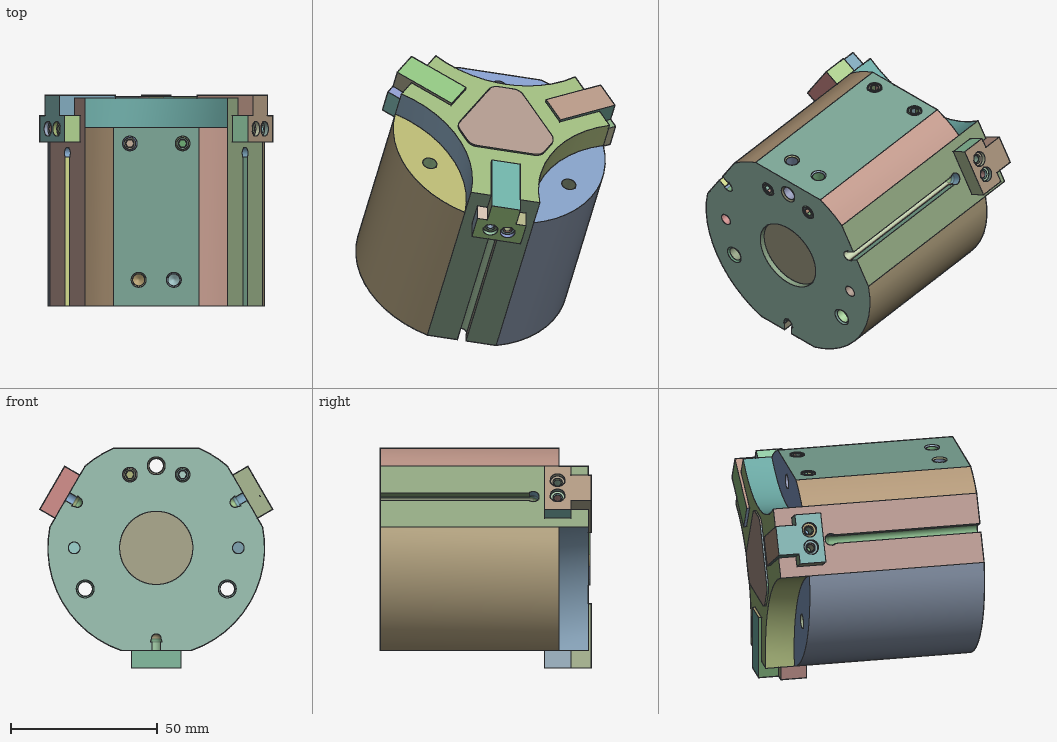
import cadquery as cq
import math

TOTAL_LENGTH = 72.0
JAW_COUNT = 3
JAW_PITCH = 360.0 / JAW_COUNT

BODY_RADIUS = 37.0
BODY_LENGTH = 61.0
GUIDE_END = 71.0
SCOOP_RADIUS = 38.5
JAW_FLAT = 35.0
TOP_FLAT = 34.0
COVER_JAW_FLAT = 12.7
COVER_SCOOP_FLAT = 17.0
COVER_CORNER_RADIUS = 4.0
COVER_HEIGHT = 0.6
RECESS_DIA = 25.0
RECESS_DEPTH = 2.0

JAW_INNER = 19.0
JAW_OUTER = 41.0
JAW_FOOT_WIDTH = 17.0
JAW_FOOT_START = 56.0
JAW_FOOT_END = 65.0
JAW_NECK_WIDTH = 10.0
JAW_HOLE_SPACING = 6.0
JAW_SLEEVE_DIA = 5.0
JAW_SLEEVE_DEPTH = 1.5
JAW_THREAD_DIA = 2.46
JAW_CHAMFER_DIA = 3.24
JAW_THREAD_DEPTH = 8.0

GROOVE_NECK = 3.0
GROOVE_HEAD_DIA = 4.0
GROOVE_HEAD_START = 32.05
GROOVE_DOME_DIA = 3.4
GROOVE_DOME_CENTER = 31.05
GROOVE_END = 52.2

BOLT_CIRCLE_RADIUS = 28.0
BOLT_HOLE_DIA = 4.92
BOLT_CHAMFER_DIA = 6.1
DOWEL_DIA = 4.0
DOWEL_DEPTH = 8.0

PORT_DIA = 4.13
PORT_CHAMFER_DIA = 5.1
PORT_DEPTH = 8.0
DRILL_POINT_ANGLE = 118.0
TOP_PORT_X = 6.0
TOP_PORT_Y = 9.0

SCREW_X = 9.0
FRONT_SCREW_Z = 25.0
TOP_SCREW_Y = 55.5
SCREW_DIA = 5.0
SCREW_CHAMFER = 0.5
SCREW_LENGTH = 5.0
SOCKET_CHAMFER_DIA = 2.9
SOCKET_ACROSS_FLATS = 2.5
SOCKET_DEPTH = 2.5

AXIS_START = cq.Vector(0, 0, 0)
AXIS_END = cq.Vector(0, 1, 0)
INTO_FRONT = cq.Vector(0, 1, 0)
INTO_TOP = cq.Vector(0, 0, -1)
INTO_JAW = cq.Vector(0, 0, 1)

FRONT_SCREW_POINTS = [cq.Vector(side * SCREW_X, 0, FRONT_SCREW_Z) for side in (-1, 1)]
TOP_SCREW_POINTS = [cq.Vector(side * SCREW_X, TOP_SCREW_Y, TOP_FLAT) for side in (-1, 1)]
SCREW_SEATS = [(point, INTO_FRONT) for point in FRONT_SCREW_POINTS]
SCREW_SEATS += [(point, INTO_TOP) for point in TOP_SCREW_POINTS]


def cross_section(y):
    """Workplane across the gripper axis; a negative extrusion runs toward +Y."""
    return cq.Workplane("XZ", origin=(0, y, 0))


def around_axis(shape):
    """One copy of the shape for each jaw, turned about the gripper axis."""
    return [shape.rotate(AXIS_START, AXIS_END, i * JAW_PITCH) for i in range(JAW_COUNT)]


def cylinder(dia, length, start, direction):
    return cq.Solid.makeCylinder(dia / 2, length, start, direction)


def countersink(outer_dia, inner_dia, start, direction):
    """45 degree cone that opens a hole at the surface."""
    depth = (outer_dia - inner_dia) / 2
    return cq.Solid.makeCone(outer_dia / 2, inner_dia / 2, depth, start, direction)


def threaded_port(start, direction):
    """Blind port with a countersunk mouth and a drill point."""
    point_depth = PORT_DIA / 2 / math.tan(math.radians(DRILL_POINT_ANGLE / 2))
    bottom = start + direction * PORT_DEPTH
    bore = cylinder(PORT_DIA, PORT_DEPTH, start, direction)
    drill_point = cq.Solid.makeCone(PORT_DIA / 2, 0, point_depth, bottom, direction)
    mouth = countersink(PORT_CHAMFER_DIA, PORT_DIA, start, direction)
    return bore.fuse(drill_point, mouth)


def jaw_bar():
    """Plain T-shaped bar of the jaw that points toward -Z."""
    height = JAW_OUTER - JAW_INNER
    middle_z = -(JAW_OUTER + JAW_INNER) / 2
    foot_length = JAW_FOOT_END - JAW_FOOT_START
    neck_length = TOTAL_LENGTH - JAW_FOOT_END
    foot = cross_section(JAW_FOOT_START).center(0, middle_z).rect(JAW_FOOT_WIDTH, height).extrude(-foot_length)
    neck = cross_section(JAW_FOOT_END).center(0, middle_z).rect(JAW_NECK_WIDTH, height).extrude(-neck_length)
    return foot.union(neck).val()


def jaw():
    """Jaw bar with two threaded holes, each with a sleeve counterbore, in its outer face."""
    body = jaw_bar()
    hole_y = (JAW_FOOT_START + JAW_FOOT_END) / 2
    for side in (-1, 1):
        mouth = cq.Vector(side * JAW_HOLE_SPACING / 2, hole_y, -JAW_OUTER)
        sleeve_floor = mouth + INTO_JAW * JAW_SLEEVE_DEPTH
        body = body.cut(cylinder(JAW_SLEEVE_DIA, JAW_SLEEVE_DEPTH, mouth, INTO_JAW))
        body = body.cut(cylinder(JAW_THREAD_DIA, JAW_THREAD_DEPTH, mouth, INTO_JAW))
        body = body.cut(countersink(JAW_CHAMFER_DIA, JAW_THREAD_DIA, sleeve_floor, INTO_JAW))
    return body


def sensor_groove():
    """Groove in the flat toward -Z: a narrow neck, then a head that tapers to a rounded floor.

    It runs out of the mounting face and ends in a round pocket that has the full head width.
    """
    neck = GROOVE_NECK / 2
    head = GROOVE_HEAD_DIA / 2
    dome = GROOVE_DOME_DIA / 2
    floor_z = dome - GROOVE_DOME_CENTER
    channel = (
        cross_section(0)
        .moveTo(-neck, -JAW_FLAT)
        .lineTo(-neck, -GROOVE_HEAD_START)
        .lineTo(-head, -GROOVE_HEAD_START)
        .lineTo(-dome, -GROOVE_DOME_CENTER)
        .threePointArc((0, floor_z), (dome, -GROOVE_DOME_CENTER))
        .lineTo(head, -GROOVE_HEAD_START)
        .lineTo(neck, -GROOVE_HEAD_START)
        .lineTo(neck, -JAW_FLAT)
        .close()
        .extrude(-GROOVE_END)
    )
    arc_side = dome * math.sqrt(0.5)
    pocket = (
        cross_section(GROOVE_END)
        .moveTo(0, -JAW_FLAT)
        .lineTo(head, -JAW_FLAT)
        .lineTo(head, -GROOVE_HEAD_START)
        .lineTo(dome, -GROOVE_DOME_CENTER)
        .threePointArc((arc_side, arc_side - GROOVE_DOME_CENTER), (0, floor_z))
        .close()
        .revolve(360, (0, 0), (0, 1))
    )
    return channel.union(pocket).val()


def body_outline():
    """Round body with three jaw flats."""
    body = cross_section(0).circle(BODY_RADIUS).extrude(-GUIDE_END)
    size = 2 * BODY_RADIUS
    beyond_flat = cross_section(0).center(0, -JAW_FLAT - size / 2).rect(size, size).extrude(-GUIDE_END)
    for cutter in around_axis(beyond_flat.val()):
        body = body.cut(cq.Workplane(cutter))
    return body


def guide_scoops():
    """Three round hollows at the jaw end, each running from the edge of one jaw flat to the next."""
    edge_angle = math.radians(JAW_PITCH / 2) - math.acos(JAW_FLAT / BODY_RADIUS)
    edge_distance = BODY_RADIUS * math.cos(edge_angle)
    half_chord = BODY_RADIUS * math.sin(edge_angle)
    center = edge_distance + math.sqrt(SCOOP_RADIUS**2 - half_chord**2)
    scoop = cross_section(BODY_LENGTH).center(0, center).circle(SCOOP_RADIUS).extrude(BODY_LENGTH - TOTAL_LENGTH)
    return around_axis(scoop.val())


def rear_cover():
    """Six-sided raised plate on the jaw end, with nearer flats toward the jaws and rounded corners."""
    half_pitch = math.radians(JAW_PITCH / 2)
    half_width = (COVER_SCOOP_FLAT - COVER_JAW_FLAT * math.cos(half_pitch)) / math.sin(half_pitch)
    corner_radius = math.hypot(COVER_JAW_FLAT, half_width)
    corner_angle = math.atan2(half_width, COVER_JAW_FLAT)
    corners = []
    for i in range(JAW_COUNT):
        jaw_angle = math.radians(i * JAW_PITCH - 90)
        for angle in (jaw_angle - corner_angle, jaw_angle + corner_angle):
            corners.append((corner_radius * math.cos(angle), corner_radius * math.sin(angle)))
    plate = cross_section(GUIDE_END).polyline(corners).close().extrude(-COVER_HEIGHT)
    return plate.edges("|Y").fillet(COVER_CORNER_RADIUS)


def housing():
    body = body_outline()
    size = 2 * BODY_RADIUS
    body = body.cut(cross_section(0).center(0, TOP_FLAT + size / 2).rect(size, size).extrude(-GUIDE_END))
    body = body.union(rear_cover())
    body = body.val()
    body = body.cut(*guide_scoops())
    body = body.cut(*around_axis(jaw_bar()))
    body = body.cut(*around_axis(sensor_groove()))
    body = body.cut(cylinder(RECESS_DIA, RECESS_DEPTH, AXIS_START, INTO_FRONT))

    bolt_center = cq.Vector(0, 0, BOLT_CIRCLE_RADIUS)
    bolt_hole = cylinder(BOLT_HOLE_DIA, TOTAL_LENGTH, bolt_center, INTO_FRONT)
    bolt_hole = bolt_hole.fuse(countersink(BOLT_CHAMFER_DIA, BOLT_HOLE_DIA, bolt_center, INTO_FRONT))
    body = body.cut(*around_axis(bolt_hole))

    for side in (-1, 1):
        dowel_center = cq.Vector(side * BOLT_CIRCLE_RADIUS, 0, 0)
        body = body.cut(cylinder(DOWEL_DIA, DOWEL_DEPTH, dowel_center, INTO_FRONT))
        body = body.cut(threaded_port(cq.Vector(side * TOP_PORT_X, TOP_PORT_Y, TOP_FLAT), INTO_TOP))
    for point, direction in SCREW_SEATS:
        body = body.cut(cylinder(SCREW_DIA, SCREW_LENGTH, point, direction))
    return body


def set_screw(point, direction):
    """Hex socket screw with a chamfered head that lies flush with the surface around it."""
    plane = cq.Plane(origin=point.toTuple(), xDir=(1, 0, 0), normal=(direction * -1).toTuple())
    socket_dia = SOCKET_ACROSS_FLATS / math.cos(math.radians(30))
    screw = cq.Workplane().circle(SCREW_DIA / 2).extrude(-SCREW_LENGTH)
    screw = screw.faces(">Z").chamfer(SCREW_CHAMFER)
    screw = screw.cut(cq.Workplane().polygon(6, socket_dia).extrude(-SOCKET_DEPTH))
    socket_mouth = countersink(SOCKET_CHAMFER_DIA, SOCKET_ACROSS_FLATS, AXIS_START, INTO_TOP)
    screw = screw.cut(cq.Workplane(socket_mouth))
    return screw.val().located(cq.Location(plane))


jaws = around_axis(jaw())
set_screws = [set_screw(point, direction) for point, direction in SCREW_SEATS]
result = cq.Compound.makeCompound([housing(), *jaws, *set_screws])